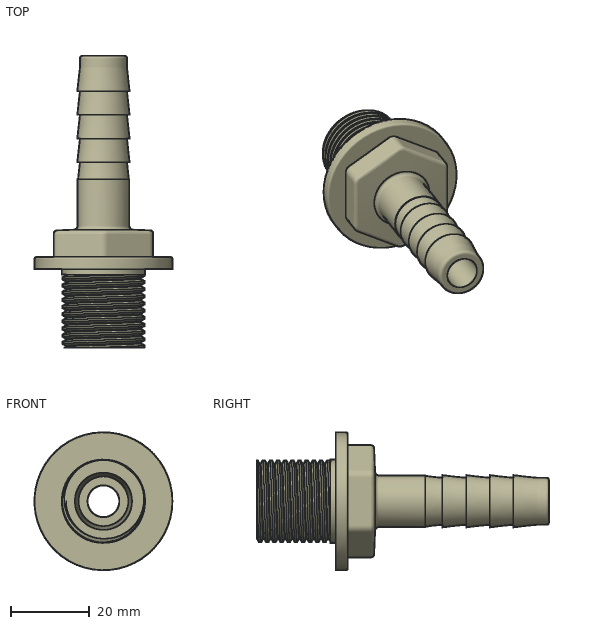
import cadquery as cq
import math

total_length = 74.0

collar_start = 18.6
collar_radius = 10.6
crest_radius = 10.4
root_radius = 9.5
ten_turn_length = 18.1
thread_pitch = ten_turn_length / 10
crest_width = 0.5
root_width = 0.2
groove_at_plus_z = 0.8

flange_start = 19.9
flange_end = 23.0
flange_diameter = 35.0
flange_radius = flange_diameter / 2
flange_edge_radius = 0.5

hex_end = 30.3
hex_across_flats = 25.2
hex_corner_radius = 2.0
hex_edge_radius = 0.9
hex_dome_drop = 0.6

shank_radius = 6.6
shank_fillet = 0.9
shank_foot = 30.0
shank_end = 42.7
tip_radius = 6.0
tip_edge_radius = 0.75
barb_count = 4
barb_pitch = 6.0
barb_peak_radius = 6.65
first_cone_start = 71.0

through_radius = 4.0
socket_mouth_radius = 7.25
socket_floor_radius = 6.3
socket_depth = flange_end


def cylinder(radius, start, end):
    """Solid cylinder along +Y between two stations."""
    plane = cq.Workplane(cq.Plane((0, start, 0), (1, 0, 0), (0, 1, 0)))
    return plane.circle(radius).extrude(end - start)


def make_thread():
    """Cylinder with a helical groove that starts off the end and stops under the flange."""
    blank = cylinder(crest_radius, 0, flange_end)
    overshoot = 0.2
    groove_depth = crest_radius - root_radius
    half_root = root_width / 2
    half_crest = (thread_pitch - crest_width) / 2
    half_outer = half_crest + overshoot * (half_crest - half_root) / groove_depth
    outer_radius = crest_radius + overshoot

    groove_start = groove_at_plus_z - thread_pitch
    groove_length = flange_start - groove_start
    path = cq.Wire.makeHelix(thread_pitch, groove_length, root_radius)
    groove = (
        cq.Workplane("XZ")
        .polyline([
            (root_radius, half_root),
            (outer_radius, half_outer),
            (outer_radius, -half_outer),
            (root_radius, -half_root),
        ])
        .close()
        .sweep(cq.Workplane(path), isFrenet=True)
        .rotate((0, 0, 0), (1, 0, 0), -90)
        .rotate((0, 0, 0), (0, 1, 0), -90)
        .translate((0, groove_start, 0))
    )
    return blank.cut(groove)


def make_flange():
    flange = cylinder(flange_radius, flange_start, flange_end)
    return flange.faces(">Y").edges().fillet(flange_edge_radius)


def make_hexagon():
    corner_diameter = hex_across_flats / math.cos(math.pi / 6)
    plane = cq.Plane((0, flange_start, 0), (0, 0, 1), (0, 1, 0))
    hexagon = cq.Workplane(plane).polygon(6, corner_diameter).extrude(hex_end - flange_start)
    hexagon = hexagon.edges("|Y").fillet(hex_corner_radius)
    dome_end = hex_end - hex_dome_drop
    dome = (
        cq.Workplane("XY")
        .polyline([
            (0, flange_start),
            (corner_diameter / 2, flange_start),
            (corner_diameter / 2, dome_end),
            (0, hex_end),
        ])
        .close()
        .revolve(360, (0, 0, 0), (0, 1, 0))
    )
    hexagon = hexagon.intersect(dome)
    return hexagon.faces("%CONE").edges().fillet(hex_edge_radius)


def make_hose_tail():
    """Revolved shank, root fillet, barbs and rounded tip."""
    fillet_mid = shank_fillet * (1 - math.sqrt(0.5))
    profile = (
        cq.Workplane("XY")
        .moveTo(0, flange_start)
        .lineTo(shank_radius + shank_fillet, flange_start)
        .lineTo(shank_radius + shank_fillet, shank_foot)
        .threePointArc(
            (shank_radius + fillet_mid, shank_foot + fillet_mid),
            (shank_radius, shank_foot + shank_fillet),
        )
        .lineTo(shank_radius, shank_end)
    )
    lowest_step = first_cone_start - barb_count * barb_pitch
    cone_slope = (barb_peak_radius - tip_radius) / barb_pitch
    profile = profile.lineTo(tip_radius + cone_slope * (lowest_step - shank_end), shank_end)
    for index in range(barb_count):
        step = lowest_step + index * barb_pitch
        profile = profile.lineTo(tip_radius, step).lineTo(barb_peak_radius, step)
    profile = profile.lineTo(tip_radius, first_cone_start).lineTo(tip_radius, total_length)
    tail = profile.lineTo(0, total_length).close().revolve(360, (0, 0, 0), (0, 1, 0))
    return tail.faces(">Y").edges().fillet(tip_edge_radius)


def make_bore():
    socket = (
        cq.Workplane("XY")
        .polyline([
            (0, 0),
            (socket_mouth_radius, 0),
            (socket_floor_radius, socket_depth),
            (0, socket_depth),
        ])
        .close()
        .revolve(360, (0, 0, 0), (0, 1, 0))
    )
    return socket.union(cylinder(through_radius, 0, total_length))


collar = cylinder(collar_radius, collar_start, flange_end)
body = make_thread().union(collar).union(make_flange())
body = body.union(make_hexagon()).union(make_hose_tail())
result = body.cut(make_bore())